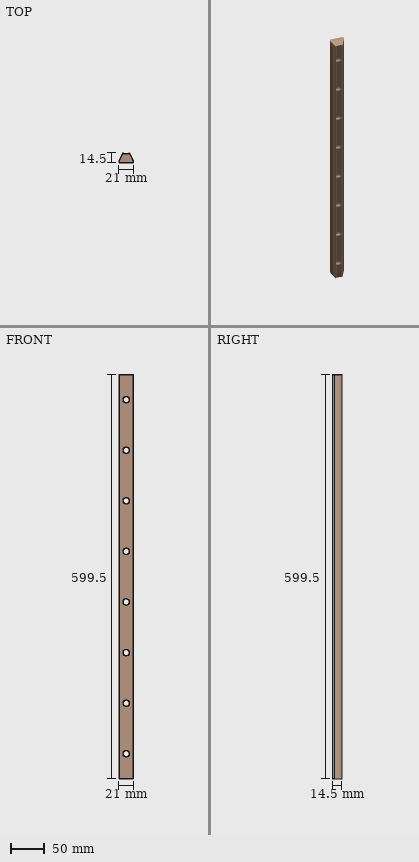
import cadquery as cq
import math

length = 599.5
base_width = 21.0
height = 14.52

base_chamfer = 0.5
wall_top = 3.0
flank_angle = 25.0
crest_chamfer = 0.2
groove_width = 8.5
groove_floor_width = 6.5
groove_depth = 1.0

end_chamfer = 0.5

hole_diameter = 9.0
hole_pitch = 75.0
hole_count = 8
first_hole_height = hole_pitch / 2


def make_rail():
    """Extrude the symmetric section: upright base walls, leaning flanks and a grooved crest."""
    flank_run = math.tan(math.radians(flank_angle))
    flank_top = height - crest_chamfer
    flank_top_x = base_width / 2 - (flank_top - wall_top) * flank_run
    right_half = [
        (base_width / 2 - base_chamfer, 0),
        (base_width / 2, base_chamfer),
        (base_width / 2, wall_top),
        (flank_top_x, flank_top),
        (flank_top_x - crest_chamfer, height),
        (groove_width / 2, height),
        (groove_floor_width / 2, height - groove_depth),
    ]
    left_half = [(-x, y) for x, y in reversed(right_half)]
    return cq.Workplane("XY").polyline(right_half + left_half).close().extrude(length)


def chamfer_lower_end(rail):
    """Bevel the lower end along the mounting face and the upright base walls."""
    base_zone = cq.selectors.BoxSelector(
        (-base_width, -height, -end_chamfer),
        (base_width, wall_top, end_chamfer),
    )
    return rail.faces("<Z").edges(base_zone).chamfer(end_chamfer)


def make_holes():
    """Straight clearance holes through the full depth, evenly spaced along the rail."""
    centers = [(0, first_hole_height + i * hole_pitch) for i in range(hole_count)]
    return (
        cq.Workplane("XZ")
        .pushPoints(centers)
        .circle(hole_diameter / 2)
        .extrude(-height)
    )


result = chamfer_lower_end(make_rail()).cut(make_holes())